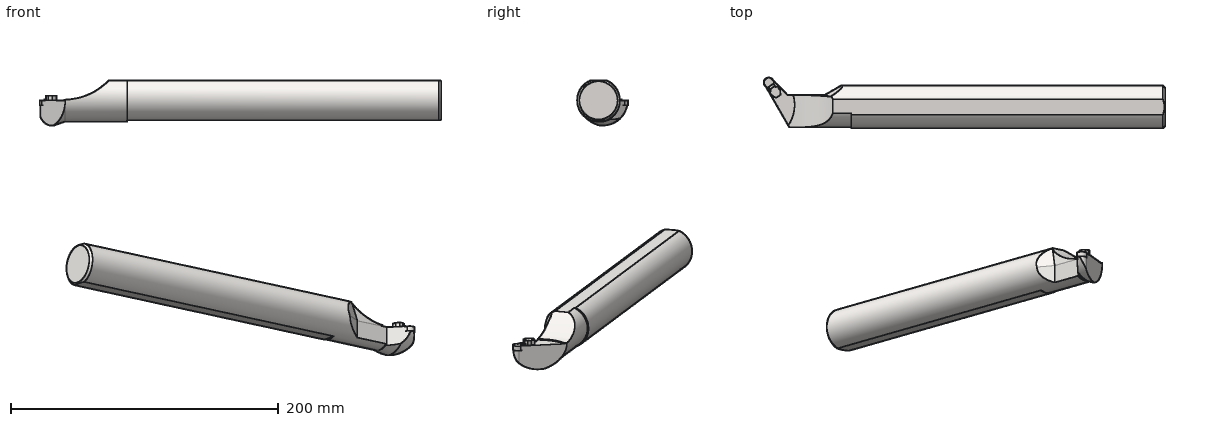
import cadquery as cq
import math

length = 300.0
shank_radius = 16.05
shank_start = 65.5
flat_height = 15.0
end_chamfer = 1.8

neck_radius = 16.05
neck_offset = 1.0
neck_start = 18.5

tip_radius = 19.0
tip_offset = 3.0
taper_start = 10.5

nose_x = 3.75
nose_y = 18.3
nose_radius = 3.45
end_face_angle = 60.0
back_angle = 45.0
side_wall_y = 9.0

scoop_start = 18.0
scoop_step = 0.5
scoop_end = 51.5
floor_back = 23.0
floor_radius = 27.0
floor_center_y = 1.5

relief_x = 45.5
relief_angle = 30.0
relief_lean_x = 0.3
relief_lean_y = 0.1

insert_radius = 3.75
insert_depth = 3.5
block_height = 3.5
insert_angle = -55.0
insert_neck_width = 4.5
step_front = 2.7
step_height = 1.0
block_front = 4.8
block_shoulder = 6.5
block_back_shoulder = 9.5
block_back = 12.5
block_half_width = 3.5
block_front_half = 1.5
block_back_half = 2.0

margin = 15.0
reach = shank_radius + margin


def x_cylinder(radius, center_y, x_start, x_end):
    """Round bar along X, centred at height zero."""
    return (cq.Workplane("YZ", origin=(x_start, 0, 0))
            .center(center_y, 0).circle(radius).extrude(x_end - x_start))


def make_shank():
    shank = x_cylinder(shank_radius, 0, shank_start, length).faces(">X").chamfer(end_chamfer)
    between_flats = cq.Workplane("XY").box(2 * length, 2 * reach, 2 * flat_height)
    return shank.intersect(between_flats)


def make_neck():
    """Lens where the shank round and the offset round overlap, flat on top."""
    neck = x_cylinder(neck_radius, neck_offset, neck_start, shank_start)
    neck = neck.intersect(x_cylinder(shank_radius, 0, neck_start, shank_start))
    above_flat = (cq.Workplane("XY", origin=(0, 0, flat_height))
                  .box(2 * length, 2 * reach, margin, centered=(True, True, False)))
    return neck.cut(above_flat)


def make_tip():
    """Wide round followed by a taper that ends on the neck."""
    front = x_cylinder(tip_radius, tip_offset, 0, taper_start)
    taper = (cq.Workplane("YZ", origin=(taper_start, 0, 0))
             .center(tip_offset, 0).circle(tip_radius)
             .workplane(offset=neck_start - taper_start)
             .center(neck_offset - tip_offset, 0).circle(neck_radius)
             .loft(ruled=True))
    return front.union(taper)


def relief_run(wall_y):
    """Length along X in which the relief slants from the wall out past the shank."""
    return (reach - wall_y) / math.tan(math.radians(relief_angle))


def plan_outline():
    """Plan of the bar with the nose, end face, slanted back and side wall."""
    face = math.radians(end_face_angle)
    back = math.radians(back_angle)
    face_point = (nose_x - nose_radius * math.sin(face), nose_y - nose_radius * math.cos(face))
    back_point = (nose_x + nose_radius * math.sin(back), nose_y + nose_radius * math.cos(back))
    middle = (face - back) / 2
    nose_point = (nose_x - nose_radius * math.sin(middle), nose_y + nose_radius * math.cos(middle))
    face_end_x = face_point[0] + (face_point[1] + reach) / math.tan(face)
    wall_x = back_point[0] + (back_point[1] - side_wall_y) / math.tan(back)
    return (cq.Workplane("XY", origin=(0, 0, -reach))
            .moveTo(*face_point).threePointArc(nose_point, back_point)
            .lineTo(wall_x, side_wall_y).lineTo(relief_x, side_wall_y)
            .lineTo(relief_x + relief_run(side_wall_y), reach).lineTo(length + margin, reach)
            .lineTo(length + margin, -reach).lineTo(face_end_x, -reach)
            .close().extrude(2 * reach))


def relief_cutter():
    """Leaning wedge removed beside the upper half of the neck."""

    def outline(plane, height):
        corner_x = relief_x + relief_lean_x * height
        wall_y = side_wall_y - relief_lean_y * height
        end_x = corner_x + relief_run(wall_y)
        return plane.polyline([(scoop_start, wall_y), (corner_x, wall_y),
                               (end_x, reach), (scoop_start, reach)]).close()

    low = outline(cq.Workplane("XY"), 0)
    return outline(low.workplane(offset=reach), reach).loft(ruled=True)


def scoop_cutter():
    """Arc that leaves the step level and rises to the top flat."""
    run = scoop_end - scoop_start
    rise = flat_height - scoop_step
    radius = (run ** 2 + rise ** 2) / (2 * rise)
    half_sweep = math.asin(run / radius) / 2
    middle = (scoop_start + radius * math.sin(half_sweep),
              scoop_step + radius * (1 - math.cos(half_sweep)))
    return (cq.Workplane("XZ", origin=(0, reach, 0))
            .moveTo(-margin, scoop_step).lineTo(scoop_start, scoop_step)
            .threePointArc(middle, (scoop_end, flat_height))
            .lineTo(scoop_end, reach).lineTo(-margin, reach)
            .close().extrude(2 * reach))


def floor_cutter():
    """Flat floor at height zero with a rounded rear edge."""
    return (cq.Workplane("XY").center(floor_back - floor_radius, floor_center_y)
            .circle(floor_radius).extrude(margin))


def make_insert():
    """Insert with its axis running from the nose centre back into the bar."""
    nose = cq.Workplane("XY").circle(insert_radius).extrude(-insert_depth)
    stem = (cq.Workplane("XY")
            .box(block_back_shoulder, insert_neck_width, insert_depth, centered=(False, True, False))
            .translate((0, 0, -insert_depth)))
    side = [(block_front, block_front_half), (block_shoulder, block_half_width),
            (block_back_shoulder, block_half_width), (block_back, block_back_half)]
    mirrored = [(x, -y) for x, y in reversed(side)]
    step = (cq.Workplane("XY", origin=(step_front, 0, 0))
            .box(block_shoulder - step_front, insert_neck_width, step_height, centered=(False, True, False)))
    block = cq.Workplane("XY").polyline(side + mirrored).close().extrude(block_height)
    insert = nose.union(stem).union(step).union(block)
    return insert.rotate((0, 0, 0), (0, 0, 1), insert_angle).translate((nose_x, nose_y, 0))


insert = make_insert()
bar = make_shank().union(make_neck()).union(make_tip())
bar = bar.intersect(plan_outline()).cut(relief_cutter())
bar = bar.cut(scoop_cutter()).cut(floor_cutter()).cut(insert)

result = cq.Compound.makeCompound([bar.val(), insert.val()])